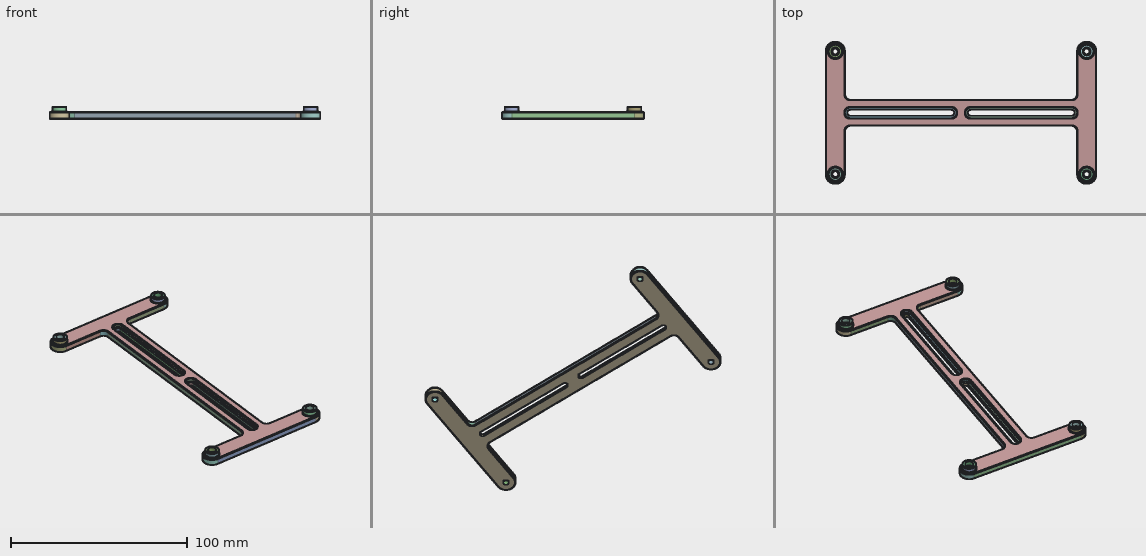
import cadquery as cq

overall_length = 153.3
overall_width = 80.5
plate_thickness = 4.1
arm_width = 11.0
bar_width = 14.9
inner_corner_radius = 3.0
edge_chamfer = 0.5

boss_diameter = 8.0
boss_height = 2.9
boss_chamfer = 0.3
boss_foot_flare = 0.38
screw_hole_diameter = 3.2
counterbore_diameter = 4.6

slot_gap = 5.0
recess_length = 63.2
recess_width = 6.0
recess_depth = 2.0
recess_chamfer = 0.5
slot_width = 3.2

arm_x = (overall_length - arm_width) / 2
boss_y = (overall_width - arm_width) / 2
boss_top = plate_thickness + boss_height
slot_x = (slot_gap + recess_length) / 2
slot_length = recess_length - (recess_width - slot_width)

arm_points = [(-arm_x, 0), (arm_x, 0)]
boss_points = [(x_side * arm_x, y_side * boss_y) for x_side in (-1, 1) for y_side in (-1, 1)]
slot_points = [(-slot_x, 0), (slot_x, 0)]


def plane_at(height):
    """Horizontal work plane at the given height."""
    return cq.Workplane("XY", origin=(0, 0, height))


def make_plate():
    """Plate with round arm ends, rounded inner corners and chamfered outer edges."""
    arms = plane_at(0).pushPoints(arm_points).slot2D(overall_width, arm_width, 90).extrude(plate_thickness)
    bar = plane_at(0).rect(2 * arm_x, bar_width).extrude(plate_thickness)

    inner_corners = cq.selectors.BoxSelector(
        (-arm_x, -bar_width, 0),
        (arm_x, bar_width, plate_thickness),
    )
    plate = arms.union(bar).edges("|Z").edges(inner_corners).fillet(inner_corner_radius)
    return plate.faces("<Z or >Z").edges().chamfer(edge_chamfer)


def make_bosses():
    """Round bosses with a flared foot and a chamfered rim, rooted inside the plate."""
    radius = boss_diameter / 2
    foot_radius = radius + boss_foot_flare
    root_height = plate_thickness / 2
    profile = (
        cq.Workplane("XZ")
        .moveTo(0, root_height)
        .lineTo(foot_radius, root_height)
        .lineTo(foot_radius, plate_thickness)
        .lineTo(radius, plate_thickness + boss_foot_flare)
        .lineTo(radius, boss_top - boss_chamfer)
        .lineTo(radius - boss_chamfer, boss_top)
        .lineTo(0, boss_top)
        .close()
    )
    boss = profile.revolve(360, (0, 0, 0), (0, 1, 0)).val()
    return plane_at(0).pushPoints(boss_points).eachpoint(lambda place: boss.moved(place))


def make_screw_holes():
    """Screw holes through the plate, widened to a counterbore over the boss height."""
    through = plane_at(0).pushPoints(boss_points).circle(screw_hole_diameter / 2).extrude(boss_top)
    counterbore = (
        plane_at(plate_thickness)
        .pushPoints(boss_points)
        .circle(counterbore_diameter / 2)
        .extrude(boss_height)
    )
    return through.union(counterbore)


def make_slots():
    """Through slots inside wider recesses sunk from the top face, with a chamfered mouth."""
    through = plane_at(0).pushPoints(slot_points).slot2D(slot_length, slot_width).extrude(plate_thickness)
    recess = (
        plane_at(plate_thickness)
        .pushPoints(slot_points)
        .slot2D(recess_length, recess_width)
        .extrude(-recess_depth)
    )
    mouth = (
        plane_at(plate_thickness)
        .pushPoints(slot_points)
        .slot2D(recess_length + 2 * recess_chamfer, recess_width + 2 * recess_chamfer)
        .extrude(-recess_chamfer, taper=45)
    )
    return through.union(recess).union(mouth)


result = make_plate().union(make_bosses()).cut(make_screw_holes()).cut(make_slots())